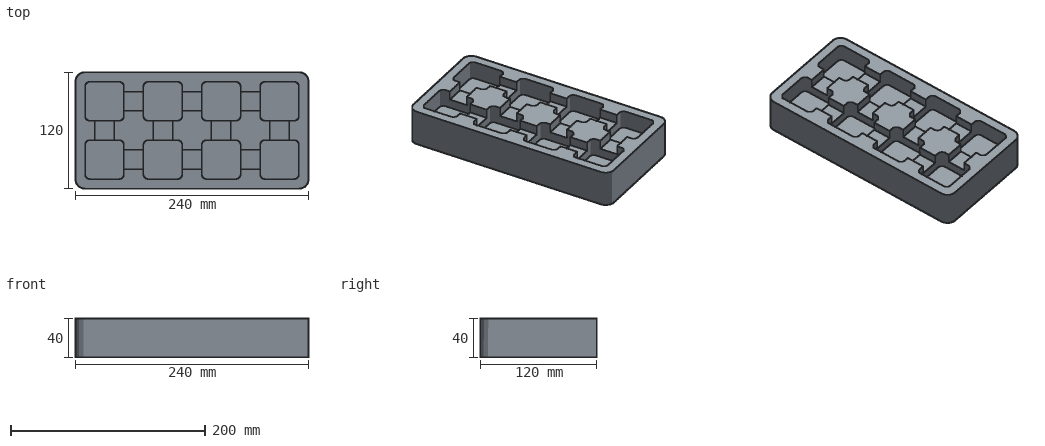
import cadquery as cq

length = 240.0
width = 120.0
height = 40.0
corner_radius = 10.0

columns = 4
rows = 2
pitch_x = length / columns
pitch_y = width / rows
pocket_size = 40.0
pocket_radius = 5.0
pocket_depth = 20.0

channel_width = 20.0
channel_depth = 10.0


def tray_block():
    """Solid block with rounded vertical corners."""
    block = cq.Workplane("XY").box(length, width, height, centered=(True, True, False))
    return block.edges("|Z").fillet(corner_radius)


def top_cutter(size_x, size_y, depth):
    """Box reaching down from the top face by the given depth, centred on X and Y."""
    top_plane = cq.Workplane("XY").workplane(offset=height - depth)
    return top_plane.box(size_x, size_y, depth, centered=(True, True, False))


def cut_pockets(body):
    """Cut one rounded pocket at every grid position."""
    pocket = top_cutter(pocket_size, pocket_size, pocket_depth).edges("|Z").fillet(pocket_radius)
    centres = cq.Workplane("XY").rarray(pitch_x, pitch_y, columns, rows)
    pockets = centres.eachpoint(lambda place: pocket.val().located(place))
    return body.cut(pockets)


def cut_channels(body):
    """Cut straight channels that run between the outermost pocket centres of each row and column."""
    row_channel = top_cutter(pitch_x * (columns - 1), channel_width, channel_depth)
    for row in range(rows):
        y = (row - (rows - 1) / 2) * pitch_y
        body = body.cut(row_channel.translate((0, y, 0)))

    column_channel = top_cutter(channel_width, pitch_y * (rows - 1), channel_depth)
    for column in range(columns):
        x = (column - (columns - 1) / 2) * pitch_x
        body = body.cut(column_channel.translate((x, 0, 0)))
    return body


result = cut_channels(cut_pockets(tray_block()))